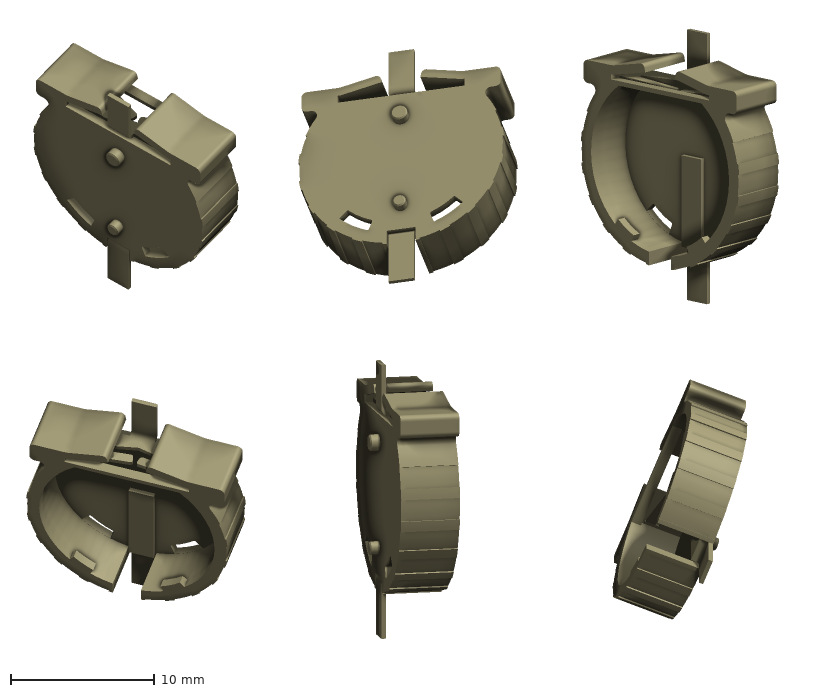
import cadquery as cq
import math


DEPTH = 4.2
BODY_RADIUS = 7.4
FLOOR_THICKNESS = 0.6
CAVITY_RADIUS = 6.42

RECESS_DEPTH = 0.1
RECESS_COUNT = 6
RECESS_PITCH = 18.0
RECESS_SPAN = 12.0
TOP_RECESS_ANGLE = 16.4

SHOULDER_HALF_WIDTH = 7.14
SHOULDER_TOP = 6.5
SHOULDER_BOTTOM = 4.85
SHOULDER_FILLET = 0.39
NECK_RADIUS = 0.43
ARM_ANGLE = 12.5
ARM_THICKNESS = 0.66
ARM_ROOT_X = 4.34
ARM_TIP_X = 1.38
ARM_TIP_FILLET = 0.33
ARM_BEND_RADIUS = 1.75
SLOT_HALF_WIDTH = 4.55
SLOT_BOTTOM = 5.25

BAR_WIDTH = 0.72
BAR_HEIGHT = 0.33
BAR_TOP = 5.47
LIP_RADIUS = 5.93
LIP_ANGLE = 57.3
LIP_SPAN = 16.4
LIP_SLOPE = 10.0
WINDOW_INNER_RADIUS = 5.52
WINDOW_OUTER_RADIUS = 6.4
WINDOW_SPAN = 22.2
WINDOW_FILLET = 0.12

NOTCH_WIDTH = 2.06
NOTCH_TOP = -6.2
PEG_LENGTH = 0.7
PEG_CHAMFER = 0.1
PEGS = [(3.27, 0.58), (-4.22, 0.47)]

SHEET = 0.31
TAB_WIDTH = 1.83
UPPER_TAB_END = 8.93
LOWER_TAB_END = -10.52
UPPER_BEND_RADIUS = 0.6
LOWER_BEND_TOP = -6.26
LOWER_BEND_SLOPE = 0.23
LOWER_BEND_RADIUS = 0.33
BLADE_TOP = 0.0
SPINE_CENTER_Y = 1.48
PAD_INNER_X = 3.5
PAD_BACK_Y = 3.3
FINGER_WIDTH = 0.68
FINGER_PLAN_ANGLE = 12.5
FINGER_DROP_ANGLE = 8.0
FINGER_TIP_X = 0.2
FINGER_TIP_Y = 2.18
FINGER_TIP_FILLET = 0.2

OVERCUT = 0.2


def box(x0, x1, y0, y1, z0, z1):
    return cq.Workplane("XY").box(x1 - x0, y1 - y0, z1 - z0, centered=False).translate((x0, y0, z0))


def front_plane(y=0.0):
    """Sketch plane with X right and Z up; extrude by a negative length to go towards +Y."""
    return cq.Workplane("XZ", origin=(0, y, 0))


def side_profile():
    """Sketch plane with Y right and Z up, for shapes centred on X = 0."""
    return cq.Workplane("YZ")


def both_sides(shape):
    return shape.union(shape.mirror("YZ"))


def polar(radius, degrees):
    angle = math.radians(degrees)
    return (radius * math.cos(angle), radius * math.sin(angle))


def ring_sector(inner, outer, middle, span, y0, y1):
    """Piece of a ring about the Y axis between two radial ends."""
    start = middle - span / 2
    end = middle + span / 2
    return (
        front_plane(y0)
        .moveTo(*polar(inner, start))
        .lineTo(*polar(outer, start))
        .threePointArc(polar(outer, middle), polar(outer, end))
        .lineTo(*polar(inner, end))
        .threePointArc(polar(inner, middle), polar(inner, start))
        .close()
        .extrude(y0 - y1)
    )


def fillet_at(solid, point, y, radius):
    """Round the edge along Y that passes nearest to an (x, z) point."""
    target = (point[0], y, point[1])
    return solid.edges(cq.selectors.NearestToPointSelector(target)).fillet(radius)


def round_body():
    body = front_plane().circle(BODY_RADIUS).extrude(-DEPTH)
    recess_floor = BODY_RADIUS - RECESS_DEPTH
    for i in range(RECESS_COUNT):
        angle = TOP_RECESS_ANGLE - i * RECESS_PITCH
        recess = ring_sector(recess_floor, BODY_RADIUS + OVERCUT, angle, RECESS_SPAN, 0, DEPTH)
        body = body.cut(both_sides(recess))
    return body.cut(box(-SLOT_HALF_WIDTH, SLOT_HALF_WIDTH, 0, DEPTH, SLOT_BOTTOM, BODY_RADIUS + OVERCUT))


def shoulder_with_arm():
    """Side block with a spring arm, joined to the round body by a tangent neck."""
    slope = math.radians(ARM_ANGLE)
    run = ARM_ROOT_X - ARM_TIP_X
    arm_root_bottom = SHOULDER_TOP - ARM_THICKNESS
    tip_bottom = (ARM_TIP_X, arm_root_bottom + run * math.tan(slope))
    tip_top = (
        tip_bottom[0] + ARM_THICKNESS * math.sin(slope),
        tip_bottom[1] + ARM_THICKNESS * math.cos(slope),
    )
    bend_top = (tip_top[0] + (tip_top[1] - SHOULDER_TOP) / math.tan(slope), SHOULDER_TOP)
    neck_z = SHOULDER_BOTTOM - NECK_RADIUS
    neck_x = math.sqrt((BODY_RADIUS + NECK_RADIUS) ** 2 - neck_z ** 2)
    neck_end = polar(BODY_RADIUS, math.degrees(math.atan2(neck_z, neck_x)))
    shape = (
        front_plane()
        .moveTo(SLOT_HALF_WIDTH, arm_root_bottom)
        .lineTo(ARM_ROOT_X, arm_root_bottom)
        .lineTo(*tip_bottom)
        .lineTo(*tip_top)
        .lineTo(*bend_top)
        .lineTo(SHOULDER_HALF_WIDTH, SHOULDER_TOP)
        .lineTo(SHOULDER_HALF_WIDTH, SHOULDER_BOTTOM)
        .lineTo(neck_x, SHOULDER_BOTTOM)
        .threePointArc((neck_x - NECK_RADIUS, neck_z), neck_end)
        .lineTo(SLOT_HALF_WIDTH, neck_end[1])
        .close()
        .extrude(-DEPTH)
    )
    middle = DEPTH / 2
    shape = fillet_at(shape, tip_top, middle, ARM_TIP_FILLET)
    shape = fillet_at(shape, bend_top, middle, ARM_BEND_RADIUS)
    shape = fillet_at(shape, (SHOULDER_HALF_WIDTH, SHOULDER_TOP), middle, SHOULDER_FILLET)
    return fillet_at(shape, (SHOULDER_HALF_WIDTH, SHOULDER_BOTTOM), middle, SHOULDER_FILLET)


def coin_cavity():
    """Round pocket, closed at the top of its mouth by the retaining bar."""
    cavity = front_plane(FLOOR_THICKNESS).circle(CAVITY_RADIUS).extrude(FLOOR_THICKNESS - DEPTH)
    cavity = cavity.intersect(box(-CAVITY_RADIUS, CAVITY_RADIUS, 0, DEPTH, -CAVITY_RADIUS, SLOT_BOTTOM))
    mouth_y = DEPTH - BAR_WIDTH
    return cavity.cut(box(-CAVITY_RADIUS, CAVITY_RADIUS, mouth_y, DEPTH, BAR_TOP - BAR_HEIGHT, SLOT_BOTTOM))


def retaining_bar():
    """Part of the bar that stands above the bottom of the arm slot."""
    return box(-SLOT_HALF_WIDTH, SLOT_HALF_WIDTH, DEPTH - BAR_WIDTH, DEPTH, SLOT_BOTTOM, BAR_TOP)


def retaining_lip():
    """Snap lip on the cavity wall, with a slightly sloped underside towards the floor."""
    lip_start = DEPTH - BAR_WIDTH
    slope_depth = (CAVITY_RADIUS - LIP_RADIUS) * math.tan(math.radians(LIP_SLOPE))
    wall = CAVITY_RADIUS + OVERCUT
    section = (
        cq.Workplane("XY")
        .polyline([
            (wall, lip_start),
            (CAVITY_RADIUS, lip_start),
            (LIP_RADIUS, lip_start + slope_depth),
            (LIP_RADIUS, DEPTH),
            (wall, DEPTH),
        ])
        .close()
    )
    lip = section.revolve(LIP_SPAN, (0, 0, 0), (0, 1, 0))
    return lip.rotate((0, 0, 0), (0, 1, 0), LIP_ANGLE - LIP_SPAN / 2)


def lip_window():
    """Floor opening that faces a retaining lip."""
    window = ring_sector(
        WINDOW_INNER_RADIUS, WINDOW_OUTER_RADIUS, -LIP_ANGLE, WINDOW_SPAN, 0, FLOOR_THICKNESS
    )
    for end in (-1, 1):
        corner = polar(WINDOW_INNER_RADIUS, -LIP_ANGLE + end * WINDOW_SPAN / 2)
        window = fillet_at(window, corner, FLOOR_THICKNESS / 2, WINDOW_FILLET)
    return window


def peg(height, radius):
    return (
        front_plane()
        .center(0, height)
        .circle(radius)
        .extrude(PEG_LENGTH)
        .faces("<Y")
        .chamfer(PEG_CHAMFER)
    )


def make_housing():
    housing = round_body().union(both_sides(shoulder_with_arm()))
    housing = housing.cut(coin_cavity())
    housing = housing.cut(both_sides(lip_window()))
    housing = housing.cut(
        box(-NOTCH_WIDTH / 2, NOTCH_WIDTH / 2, 0, DEPTH, -BODY_RADIUS - OVERCUT, NOTCH_TOP)
    )
    for height, radius in PEGS:
        housing = housing.union(peg(height, radius))
    housing = housing.union(retaining_bar())
    return housing.union(both_sides(retaining_lip()))


def upper_tab():
    """Upright solder tab that curls inwards to meet the spine."""
    outer = UPPER_BEND_RADIUS
    inner = outer - SHEET
    bend_z = SLOT_BOTTOM + outer
    diagonal = math.sqrt(0.5)
    return (
        side_profile()
        .moveTo(0, UPPER_TAB_END)
        .lineTo(0, bend_z)
        .threePointArc((outer * (1 - diagonal), bend_z - outer * diagonal), (outer, SLOT_BOTTOM))
        .lineTo(outer, SLOT_BOTTOM + SHEET)
        .threePointArc((outer - inner * diagonal, bend_z - inner * diagonal), (SHEET, bend_z))
        .lineTo(SHEET, UPPER_TAB_END)
        .close()
        .extrude(TAB_WIDTH / 2, both=True)
    )


def contact_spine():
    """Flat strip across the holder with a shallow V along its inner edge, and a pad at each end."""
    edge_y = SPINE_CENTER_Y + PAD_INNER_X * math.tan(math.radians(FINGER_PLAN_ANGLE))
    half = (
        cq.Workplane("XY", origin=(0, 0, SLOT_BOTTOM))
        .polyline([
            (0, FLOOR_THICKNESS),
            (SLOT_HALF_WIDTH, FLOOR_THICKNESS),
            (SLOT_HALF_WIDTH, PAD_BACK_Y),
            (PAD_INNER_X, PAD_BACK_Y),
            (PAD_INNER_X, edge_y),
            (0, SPINE_CENTER_Y),
        ])
        .close()
        .extrude(SHEET)
    )
    return both_sides(half)


def spring_finger():
    """Finger that runs from the pad towards the middle and sinks towards the coin."""
    drop = PAD_INNER_X * math.tan(math.radians(FINGER_DROP_ANGLE))
    sheet_top = SLOT_BOTTOM + SHEET
    sloped_sheet = (
        front_plane()
        .polyline([
            (SLOT_HALF_WIDTH, SLOT_BOTTOM),
            (PAD_INNER_X, SLOT_BOTTOM),
            (0, SLOT_BOTTOM - drop),
            (0, sheet_top - drop),
            (PAD_INNER_X, sheet_top),
            (SLOT_HALF_WIDTH, sheet_top),
        ])
        .close()
        .extrude(-PAD_BACK_Y)
    )
    plan = (
        box(0, PAD_INNER_X + OVERCUT, -FINGER_WIDTH / 2, FINGER_WIDTH / 2, 0, SHOULDER_TOP)
        .edges("|Z and <X")
        .fillet(FINGER_TIP_FILLET)
        .rotate((0, 0, 0), (0, 0, 1), FINGER_PLAN_ANGLE)
        .translate((FINGER_TIP_X, FINGER_TIP_Y, 0))
    )
    return sloped_sheet.intersect(plan)


def make_upper_contact():
    return contact_spine().union(upper_tab()).union(both_sides(spring_finger()))


def make_lower_contact():
    """Solder tab that steps in under the floor and rises as a blade on the cavity side."""
    half_bend = math.pi / 8
    diagonal = math.sqrt(0.5)
    bend_end_z = LOWER_BEND_TOP - LOWER_BEND_SLOPE
    arc_start_z = bend_end_z - LOWER_BEND_RADIUS * diagonal
    arc_end_y = LOWER_BEND_RADIUS * (1 - diagonal)
    arc_mid = (
        LOWER_BEND_RADIUS * (1 - math.cos(half_bend)),
        arc_start_z + LOWER_BEND_RADIUS * math.sin(half_bend),
    )
    shelf_y = arc_end_y + LOWER_BEND_SLOPE
    shelf_bottom = LOWER_BEND_TOP - SHEET
    blade_back = FLOOR_THICKNESS + SHEET
    return (
        side_profile()
        .moveTo(0, LOWER_TAB_END)
        .lineTo(0, arc_start_z)
        .threePointArc(arc_mid, (arc_end_y, bend_end_z))
        .lineTo(shelf_y, LOWER_BEND_TOP)
        .lineTo(FLOOR_THICKNESS, LOWER_BEND_TOP)
        .lineTo(FLOOR_THICKNESS, BLADE_TOP)
        .lineTo(blade_back, BLADE_TOP)
        .lineTo(blade_back, shelf_bottom)
        .lineTo(shelf_y + SHEET * math.tan(half_bend), shelf_bottom)
        .lineTo(SHEET, arc_start_z)
        .lineTo(SHEET, LOWER_TAB_END)
        .close()
        .extrude(TAB_WIDTH / 2, both=True)
    )


housing = make_housing()
upper_contact = make_upper_contact()
lower_contact = make_lower_contact()

result = cq.Compound.makeCompound([
    housing.solids().val(),
    upper_contact.solids().val(),
    lower_contact.solids().val(),
])